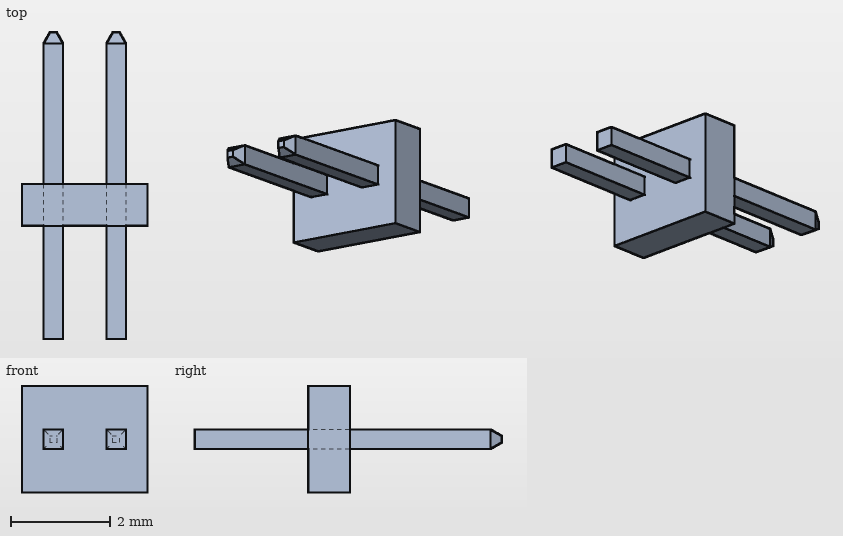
import cadquery as cq

pitch = 1.27
pin_count = 2
housing_width = pin_count * pitch
housing_depth = 0.85
housing_height = 2.16

pin_size = 0.4
pin_front_length = 2.29
pin_length = 6.2
tip_length = 0.23
tip_size = 0.14

housing_front_y = -housing_depth / 2
pin_front_y = housing_front_y - pin_front_length
shank_length = pin_length - tip_length
pin_positions = [(i - (pin_count - 1) / 2) * pitch for i in range(pin_count)]


def make_pin(x):
    """Square shank pointing along +Y, ending in a four-sided tapered tip."""
    shank = (
        cq.Workplane("XZ", origin=(x, pin_front_y, 0))
        .rect(pin_size, pin_size)
        .extrude(-shank_length)
    )
    tip = (
        cq.Workplane("XZ", origin=(x, pin_front_y + shank_length, 0))
        .rect(pin_size, pin_size)
        .workplane(offset=-tip_length)
        .rect(tip_size, tip_size)
        .loft(ruled=True)
    )
    return shank.union(tip)


def make_housing(pins):
    """Plain block with a through hole matching each pin."""
    block = cq.Workplane("XY").box(housing_width, housing_depth, housing_height)
    for pin in pins:
        block = block.cut(pin)
    return block


pins = [make_pin(x) for x in pin_positions]
housing = make_housing(pins)

result = cq.Compound.makeCompound([housing.val(), *[pin.val() for pin in pins]])